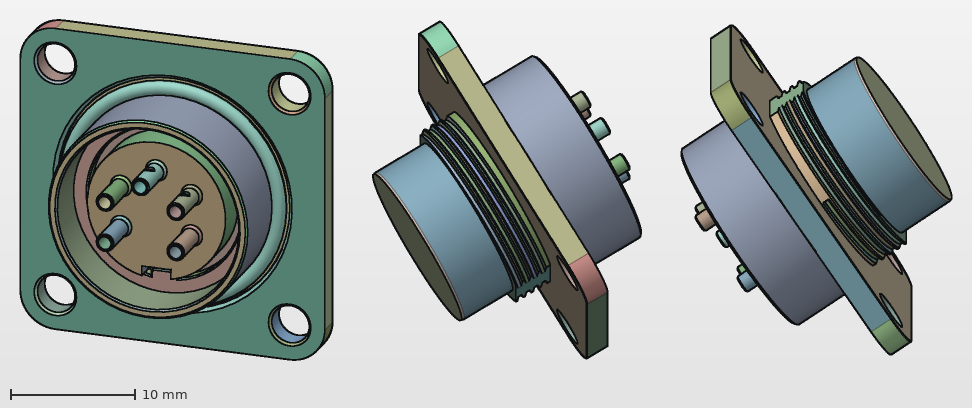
import cadquery as cq
import math


overall_length = 17.8

flange_side = 26.0
flange_thickness = 1.98
flange_corner_radius = 3.0
flange_rear_chamfer = 0.05
mount_hole_pitch = 20.0
mount_hole_diameter = 3.2
mount_hole_chamfer = 0.2

neck_length = 3.25
barrel_end = 8.03
barrel_diameter = 13.8
barrel_chamfer_length = 0.2
barrel_chamfer_depth = 0.05
thread_major_diameter = 16.0
thread_root_diameter = 15.24
thread_pitch = 0.75
thread_groove_crest_width = 0.57
thread_groove_root_width = 0.3
thread_runout = 0.45
neck_flat_width = 14.8

cup_end = -7.98
cup_outer_diameter = 17.0
cup_inner_diameter = 15.5
cup_edge_chamfer = 0.15

seal_groove_diameter = 19.8
seal_groove_mouth_diameter = 20.4
seal_groove_depth = 0.7
seal_section_diameter = 1.2
seal_overlap = 0.03

insert_diameter = 11.8
insert_depth = 2.13
shoulder_bore_diameter = 13.1
shoulder_edge_chamfer = 0.13
shoulder_step = 1.92
gap_depth = 1.05
key_width = 2.37
key_distance = 5.82
key_corner_radius = 0.42
key_slot_width = 2.5
key_slot_distance = 4.95

pin_end = barrel_end - overall_length
pin_circle_radius = 3.48
pin_diameter = 1.48
pin_tip_chamfer = 0.1
pin_bore_diameter = 1.1
pin_bore_depth = 2.85
drill_point_angle = 118.0
collar_diameter = 1.82
collar_length = 0.35
pin_angles = (-30, 30, 90, 150, 210)
vent_pin_angles = (30, 90)
vent_diameter = 0.8
vent_distance = 2.3

insert_face = cup_end + insert_depth
shoulder_face = insert_face + shoulder_step
gap_floor = shoulder_face + gap_depth


def cylinder(diameter, y_start, y_end, x=0.0, z=0.0):
    """Round bar parallel to Y between two heights."""
    low = min(y_start, y_end)
    plane = cq.Plane(origin=(x, low, z), xDir=(1, 0, 0), normal=(0, 1, 0))
    return cq.Workplane(plane).circle(diameter / 2).extrude(abs(y_end - y_start))


def cone(diameter_start, diameter_end, y_start, y_end, x=0.0, z=0.0):
    """Cone or frustum parallel to Y; y_end is above y_start."""
    solid = cq.Solid.makeCone(
        diameter_start / 2, diameter_end / 2, y_end - y_start, cq.Vector(x, y_start, z), cq.Vector(0, 1, 0)
    )
    return cq.Workplane(obj=solid)


def make_flange():
    plate = (
        cq.Workplane("XZ")
        .rect(flange_side, flange_side)
        .extrude(flange_thickness)
        .edges("|Y")
        .fillet(flange_corner_radius)
        .faces(">Y")
        .chamfer(flange_rear_chamfer)
    )
    for x_sign in (-1, 1):
        for z_sign in (-1, 1):
            x = x_sign * mount_hole_pitch / 2
            z = z_sign * mount_hole_pitch / 2
            plate = plate.cut(cylinder(mount_hole_diameter, -flange_thickness, 0, x, z))
            countersink = cone(
                mount_hole_diameter + 2 * mount_hole_chamfer,
                mount_hole_diameter,
                -flange_thickness,
                -flange_thickness + mount_hole_chamfer,
                x,
                z,
            )
            plate = plate.cut(countersink)
    return plate


def make_thread_groove():
    """Helical groove cutter, running from the flange out past the end of the neck."""
    root_radius = thread_root_diameter / 2
    major_radius = thread_major_diameter / 2
    clearance = 0.08
    flare = (thread_groove_crest_width - thread_groove_root_width) / (major_radius - root_radius)
    outer_radius = major_radius + clearance
    root_half = thread_groove_root_width / 2
    outer_half = (thread_groove_crest_width + clearance * flare) / 2
    helix_height = neck_length - thread_runout + thread_pitch / 2
    helix = cq.Wire.makeHelix(thread_pitch, helix_height, root_radius)
    groove = (
        cq.Workplane("XZ")
        .polyline(
            [
                (root_radius, -root_half),
                (outer_radius, -outer_half),
                (outer_radius, outer_half),
                (root_radius, root_half),
            ]
        )
        .close()
        .sweep(cq.Workplane(obj=helix), isFrenet=True)
    )
    groove = groove.rotate((0, 0, 0), (0, 0, 1), 90)
    groove = groove.rotate((0, 0, 0), (1, 0, 0), -90)
    return groove.translate((0, thread_runout, 0))


def make_neck():
    neck = cylinder(thread_major_diameter, 0, neck_length).cut(make_thread_groove())
    flats = cq.Workplane("XY").box(neck_flat_width, 2 * neck_length, thread_major_diameter)
    return neck.intersect(flats)


def make_barrel():
    chamfer_start = barrel_end - barrel_chamfer_length
    end_diameter = barrel_diameter - 2 * barrel_chamfer_depth
    straight = cylinder(barrel_diameter, 0, chamfer_start)
    return straight.union(cone(barrel_diameter, end_diameter, chamfer_start, barrel_end))


def make_cup():
    cup = cylinder(cup_outer_diameter, cup_end, 0)
    cup = cup.faces("<Y").chamfer(cup_edge_chamfer)
    mouth_diameter = cup_inner_diameter + 2 * cup_edge_chamfer
    cup = cup.cut(cylinder(cup_inner_diameter, cup_end, gap_floor))
    return cup.cut(cone(mouth_diameter, cup_inner_diameter, cup_end, cup_end + cup_edge_chamfer))


def make_seal_groove():
    mouth_depth = (seal_groove_mouth_diameter - seal_groove_diameter) / 2
    front = -flange_thickness
    groove = cylinder(seal_groove_diameter, front, front + seal_groove_depth)
    groove = groove.union(cone(seal_groove_mouth_diameter, seal_groove_diameter, front, front + mouth_depth))
    return groove.cut(cylinder(cup_outer_diameter, front, front + seal_groove_depth))


def make_seal():
    """O-ring pressed slightly into the cup wall and the floor of its groove."""
    section_radius = seal_section_diameter / 2
    ring_radius = cup_outer_diameter / 2 + section_radius - seal_overlap
    ring_y = -flange_thickness + seal_groove_depth - section_radius + seal_overlap
    ring = cq.Solid.makeTorus(ring_radius, section_radius, cq.Vector(0, ring_y, 0), cq.Vector(0, 1, 0))
    return cq.Workplane(obj=ring)


def make_shoulder():
    """Ring around the insert; its bore carries the key at the bottom."""
    bore_radius = shoulder_bore_diameter / 2
    key_length = bore_radius - key_distance
    key = (
        cq.Workplane("XZ", origin=(0, gap_floor, -key_distance - key_length / 2))
        .rect(key_width, key_length)
        .extrude(gap_depth)
        .edges("|Y and >Z")
        .fillet(key_corner_radius)
    )
    opening = cylinder(shoulder_bore_diameter, shoulder_face, gap_floor).cut(key)
    ring = cylinder(cup_inner_diameter, shoulder_face, gap_floor).cut(opening)
    opening_rim = ring.faces("<Y").val().innerWires()[0]
    return ring.newObject(opening_rim.Edges()).chamfer(shoulder_edge_chamfer)


def make_insert():
    insert = cylinder(insert_diameter, insert_face, gap_floor)
    slot_length = insert_diameter / 2 - key_slot_distance
    slot = (
        cq.Workplane("XZ", origin=(0, gap_floor, -key_slot_distance - slot_length / 2))
        .rect(key_slot_width, slot_length)
        .extrude(gap_floor - insert_face)
    )
    return insert.cut(slot)


def make_pin(angle):
    x = pin_circle_radius * math.cos(math.radians(angle))
    z = pin_circle_radius * math.sin(math.radians(angle))
    pin = cylinder(pin_diameter, pin_end, insert_face, x, z).faces("<Y").chamfer(pin_tip_chamfer)
    pin = pin.union(cone(pin_diameter, collar_diameter, insert_face - collar_length, insert_face, x, z))
    bore_floor = pin_end + pin_bore_depth
    point_depth = pin_bore_diameter / 2 / math.tan(math.radians(drill_point_angle / 2))
    pin = pin.cut(cylinder(pin_bore_diameter, pin_end, bore_floor, x, z))
    pin = pin.cut(cone(pin_bore_diameter, 0, bore_floor, bore_floor + point_depth, x, z))
    if angle in vent_pin_angles:
        vent = (
            cq.Workplane("XY", origin=(x, pin_end + vent_distance, z))
            .circle(vent_diameter / 2)
            .extrude(pin_diameter)
        )
        pin = pin.cut(vent)
    return pin


result = make_flange().union(make_neck()).union(make_barrel()).union(make_cup())
result = result.cut(make_seal_groove()).union(make_seal())
result = result.union(make_shoulder()).union(make_insert())
for pin_angle in pin_angles:
    result = result.union(make_pin(pin_angle))